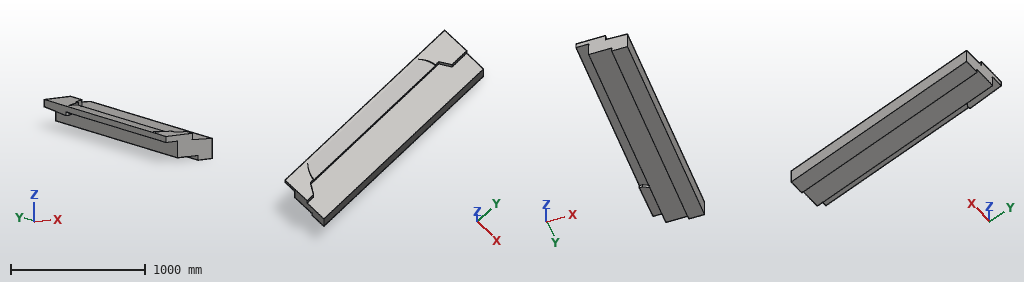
import cadquery as cq

length = 1678.0
width = 406.0
height = 210.0

overhang = 100.0
flange_thickness = 45.0
body_depth = 173.0
key_start = 282.0
step_x = 232.0
shelf_drop = 49.0
edge_drop = 57.0
shelf_slope = (edge_drop - shelf_drop) / (width - step_x)

recess_center = -44.0
step_half_length = 727.0
notch_half_length = 675.0
pocket_inner_half = 641.0
pocket_mid_half = 621.0
pocket_outer_half = 582.0
notch_x = 146.0
pocket_mid_x = 80.0
pocket_x = 25.0
pocket_inner_drop = 18.0

thick_end_drop = 55.0
thick_inner_drop = 72.0

back = length / 2
pocket_start = recess_center + pocket_outer_half
pocket_shoulder = recess_center + pocket_mid_half


def extrude_along_y(points):
    """Extrude an XZ outline over the full length."""
    return cq.Workplane("XZ").polyline(points).close().extrude(length / 2, both=True)


def shelf_z(x):
    return -shelf_drop - shelf_slope * (x - step_x)


def make_body():
    return extrude_along_y([
        (0, 0), (step_x, 0), (step_x, shelf_z(step_x)), (width, -edge_drop),
        (width, -height), (key_start, -height), (key_start, -body_depth),
        (overhang, -body_depth), (overhang, -flange_thickness), (0, -flange_thickness),
    ])


def make_thick_flange():
    wedge = (
        cq.Workplane("YZ")
        .polyline([
            (pocket_start, 0), (back, 0), (back, -thick_end_drop),
            (pocket_start, -thick_inner_drop),
        ])
        .close()
        .extrude(overhang)
    )
    outline = cq.Workplane("XY").polyline([
        (0, pocket_start), (pocket_x, pocket_start), (overhang, pocket_shoulder),
        (overhang, back), (0, back),
    ]).close()
    return wedge.intersect(outline.extrude(-height))


def recess_above(points, outline):
    """Space above an XZ floor line, limited to a plan outline."""
    return extrude_along_y(points).intersect(outline.extrude(height, both=True))


def make_notch():
    outline = cq.Workplane("XY").polyline([
        (notch_x, recess_center - notch_half_length),
        (step_x, recess_center - step_half_length),
        (step_x, recess_center + step_half_length),
        (notch_x, recess_center + notch_half_length),
    ]).close()
    floor = [(notch_x, 0), (notch_x, shelf_z(notch_x)), (step_x, shelf_z(step_x)), (step_x, 0)]
    return recess_above(floor, outline)


def make_pocket():
    outline = (
        cq.Workplane("XY")
        .moveTo(notch_x, recess_center - pocket_inner_half)
        .threePointArc((pocket_mid_x, recess_center - pocket_mid_half),
                       (pocket_x, recess_center - pocket_outer_half))
        .lineTo(pocket_x, recess_center + pocket_outer_half)
        .threePointArc((pocket_mid_x, recess_center + pocket_mid_half),
                       (notch_x, recess_center + pocket_inner_half))
        .close()
    )
    floor = [(pocket_x, 0), (notch_x, -pocket_inner_drop), (notch_x, 0)]
    return recess_above(floor, outline)


result = make_body().union(make_thick_flange()).cut(make_notch()).cut(make_pocket())